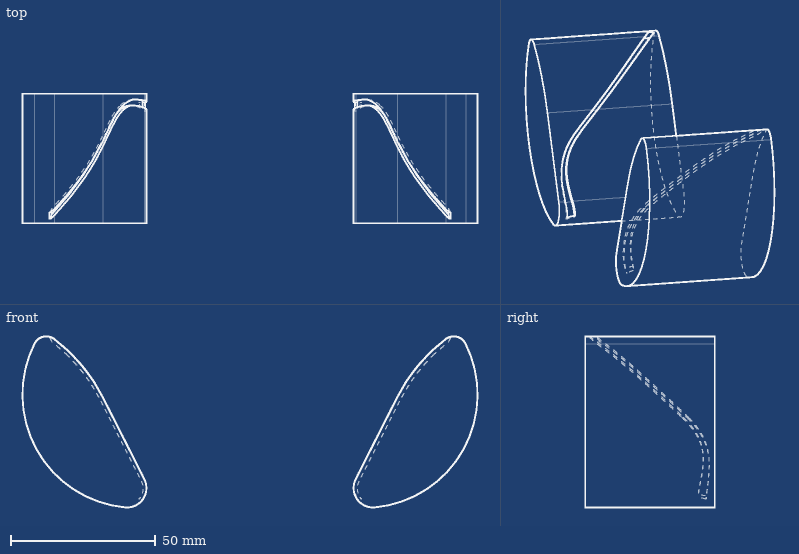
import cadquery as cq
import math

overall_width = 158.1
grip_length = 45.0

outer_radius = 39.4
outer_center_x = outer_radius - overall_width / 2
outer_center_z = 9.3
flat_angle = 63.1
flat_top_x = -51.1
flat_top_z = 8.4
inner_radius = 59.1
top_tip_radius = 4.6
bottom_tip_radius = 6.8

groove_depth = 1.3
groove_cutter_inset = 7.1
groove_cutter_height = 15.8
groove_path = [
    (-27.5, -20.4, 1.6),
    (-13.0, -7.0, 1.5),
    (-2.8, 2.4, 1.3),
    (5.2, 10.1, 1.3),
    (12.8, 16.3, 1.5),
    (19.8, 19.0, 1.7),
    (28.3, 19.3, 2.4),
    (36.8, 18.0, 2.8),
]

slope_x = math.cos(math.radians(flat_angle))
slope_z = -math.sin(math.radians(flat_angle))
normal_x = -slope_z
normal_z = slope_x
inner_center_x = flat_top_x - inner_radius * normal_x
inner_center_z = flat_top_z - inner_radius * normal_z
flat_reach = 2 * outer_radius
inner_arc_span = 45.0


def make_blank(inset=0.0):
    """Ungrooved grip, its section shrunk evenly all round by the inset."""
    outer_r = outer_radius - inset
    inner_r = inner_radius - inset
    flat_start_x = inner_center_x + inner_r * normal_x
    flat_start_z = inner_center_z + inner_r * normal_z
    flat_end_x = flat_start_x + flat_reach * slope_x
    flat_end_z = flat_start_z + flat_reach * slope_z

    def inner_arc_point(turn):
        angle = math.atan2(normal_z, normal_x) + math.radians(turn)
        return (
            inner_center_x + inner_r * math.cos(angle),
            inner_center_z + inner_r * math.sin(angle),
        )

    arc_end = inner_arc_point(inner_arc_span)
    behind_inner_face = (
        cq.Workplane("XZ", origin=(0, grip_length / 2, 0))
        .moveTo(flat_end_x, flat_end_z)
        .lineTo(flat_start_x, flat_start_z)
        .threePointArc(inner_arc_point(inner_arc_span / 2), arc_end)
        .lineTo(-overall_width, arc_end[1])
        .lineTo(-overall_width, flat_end_z)
        .close()
        .extrude(grip_length)
    )
    cylinder = (
        cq.Workplane("XZ", origin=(0, grip_length / 2, 0))
        .center(outer_center_x, outer_center_z)
        .circle(outer_r)
        .extrude(grip_length)
    )
    return (
        cylinder.intersect(behind_inner_face)
        .edges("|Y").edges(">Z").fillet(top_tip_radius - inset)
        .edges("|Y").edges("<Z").fillet(bottom_tip_radius - inset)
    )


def groove_side(side):
    """One edge of the groove, half its width to the left (side 1) or right (side -1) of the centre."""
    edge = []
    last = len(groove_path) - 1
    for i, (slope_distance, y, width) in enumerate(groove_path):
        before = groove_path[max(i - 1, 0)]
        after = groove_path[min(i + 1, last)]
        step_down = after[0] - before[0]
        step_y = after[1] - before[1]
        offset = side * width / 2 / math.hypot(step_down, step_y)
        edge.append((slope_distance - offset * step_y, y + offset * step_down))
    return edge


def make_groove(blank):
    """Curved band of the blank's skin, one groove deep."""
    skin = blank.cut(make_blank(groove_depth))
    flat_plane = cq.Plane(
        origin=(flat_top_x, 0, flat_top_z),
        xDir=(slope_x, 0, slope_z),
        normal=(normal_x, 0, normal_z),
    )
    left_edge = groove_side(1)
    right_edge = groove_side(-1)[::-1]
    band = (
        cq.Workplane(flat_plane)
        .workplane(offset=-groove_cutter_inset)
        .moveTo(*left_edge[0])
        .spline(left_edge[1:], includeCurrent=True)
        .lineTo(*right_edge[0])
        .spline(right_edge[1:], includeCurrent=True)
        .close()
        .extrude(groove_cutter_height)
    )
    return band.intersect(skin)


def make_grip(side):
    """Grooved grip on the left (side -1) or its mirror image on the right (side 1)."""
    blank = make_blank()
    grip = blank.cut(make_groove(blank))
    if side > 0:
        grip = grip.mirror("YZ")
    return grip.solids().val()


grips = [make_grip(side) for side in (-1, 1)]

result = cq.Compound.makeCompound([*grips])